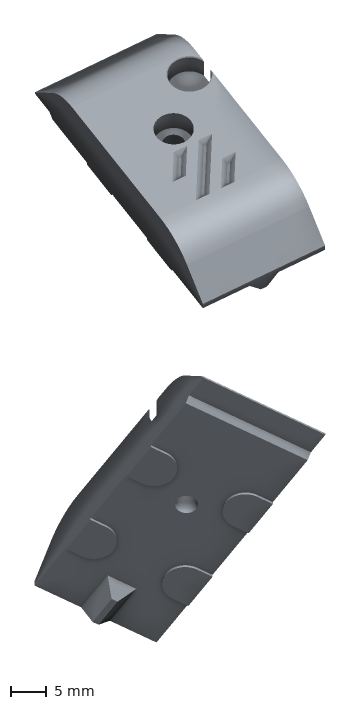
import cadquery as cq

length = 44.55
width = 20.0
height = 8.1
half_width = width / 2

left_lip_bottom = 0.85
left_lip_top = 1.15
left_lip_length = 3.85
right_end_height = 0.95
left_blend_radius = 7.0
right_blend_radius = 10.0
left_crest_x = height - left_lip_top
right_crest_x = length - (height - right_end_height)

ridge_depth = 1.95
ridge_top_width = 4.72
ridge_bottom_width = 1.0
ridge_start_x = 37.55

pad_radius = 3.2
pad_thickness = 0.4
pad_round_inset = 2.5
pad_centers_x = (17.05, 32.95)

screw_x = 20.6
screw_diameter = 3.2
counterbore_diameter = 5.6
counterbore_depth = 3.25

pocket_x = 13.3
pocket_inset = 2.95
pocket_diameter = 6.15
pocket_depth = 3.2
pocket_chamfer = 0.15

groove_center_x = 28.65
groove_pitch = 4.5
groove_opening = 2.2
groove_slope = -2 / 3
groove_short_y = 2.6
groove_depth = 0.7
groove_taper = 45


def make_body():
    outline = (
        cq.Workplane("XZ", origin=(0, half_width, 0))
        .moveTo(0, left_lip_bottom)
        .lineTo(left_lip_length, left_lip_bottom)
        .lineTo(left_lip_length + left_lip_bottom, 0)
        .lineTo(length, 0)
        .lineTo(length, right_end_height)
        .lineTo(right_crest_x, height)
        .lineTo(left_crest_x, height)
        .lineTo(0, left_lip_top)
        .close()
        .extrude(width)
    )
    left_crest = cq.selectors.NearestToPointSelector((left_crest_x, 0, height))
    right_crest = cq.selectors.NearestToPointSelector((right_crest_x, 0, height))
    body = outline.edges(left_crest).fillet(left_blend_radius)
    return body.edges(right_crest).fillet(right_blend_radius)


def make_ridge():
    section = (
        cq.Workplane("YZ", origin=(ridge_start_x, 0, 0))
        .polyline([
            (-ridge_top_width / 2, 0),
            (ridge_top_width / 2, 0),
            (ridge_bottom_width / 2, -ridge_depth),
            (-ridge_bottom_width / 2, -ridge_depth),
        ])
        .close()
        .extrude(length - ridge_start_x)
    )
    sloped_nose = (
        cq.Workplane("XZ", origin=(ridge_start_x, half_width, 0))
        .polyline([(0, 0), (ridge_depth, -ridge_depth), (0, -ridge_depth)])
        .close()
        .extrude(width)
    )
    return section.cut(sloped_nose)


def make_pad(center_x, side):
    """Pad reaching inward from the front (-1) or back (+1) face."""
    edge_y = side * half_width
    round_y = side * (half_width - pad_round_inset)
    tip_y = round_y - side * pad_radius
    return (
        cq.Workplane("XY")
        .moveTo(center_x - pad_radius, edge_y)
        .lineTo(center_x - pad_radius, round_y)
        .threePointArc((center_x, tip_y), (center_x + pad_radius, round_y))
        .lineTo(center_x + pad_radius, edge_y)
        .close()
        .extrude(-pad_thickness)
    )


def make_pocket():
    center = (pocket_x, half_width - pocket_inset)
    bore = (
        cq.Workplane("XY", origin=(0, 0, height - pocket_depth))
        .center(*center)
        .circle(pocket_diameter / 2)
        .extrude(pocket_depth)
    )
    rim = (
        cq.Workplane("XY", origin=(0, 0, height))
        .center(*center)
        .circle(pocket_diameter / 2 + pocket_chamfer)
        .extrude(-pocket_chamfer, taper=45)
    )
    return bore.union(rim)


def make_groove(start_x, end_x, center_y):
    """Parallelogram groove whose ends are parallel to Y."""
    half_drop = groove_slope * (end_x - start_x) / 2
    half_opening = groove_opening / 2
    return (
        cq.Workplane("XY", origin=(0, center_y, height))
        .polyline([
            (start_x, -half_drop - half_opening),
            (end_x, half_drop - half_opening),
            (end_x, half_drop + half_opening),
            (start_x, -half_drop + half_opening),
        ])
        .close()
        .extrude(-groove_depth, taper=groove_taper)
    )


result = make_body().union(make_ridge())
for pad_x in pad_centers_x:
    for pad_side in (-1, 1):
        result = result.union(make_pad(pad_x, pad_side))

result = (
    result.faces(">Z")
    .workplane(origin=(screw_x, 0, height))
    .cboreHole(screw_diameter, counterbore_diameter, counterbore_depth)
)
result = result.cut(make_pocket())

groove_left_x = groove_center_x - groove_pitch
groove_right_x = groove_center_x + groove_pitch
result = result.cut(make_groove(groove_left_x, groove_right_x, 0))
result = result.cut(make_groove(groove_left_x, groove_center_x, -groove_short_y))
result = result.cut(make_groove(groove_center_x, groove_right_x, groove_short_y))